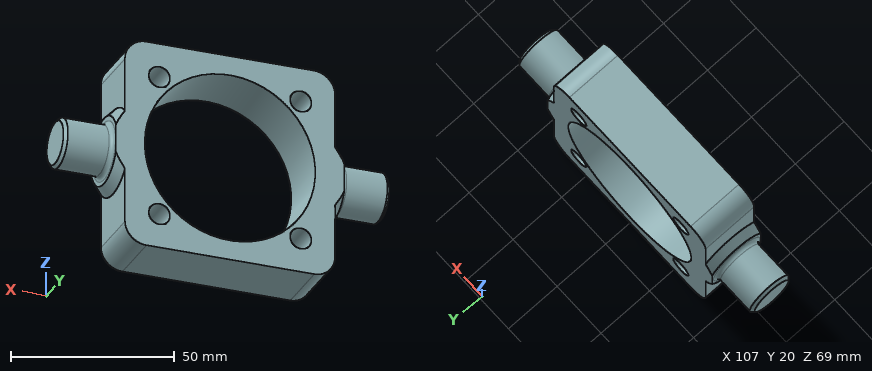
import cadquery as cq

overall_length = 107.0
plate_side = 69.0
thickness = 20.0
corner_radius = 7.0

bore_diameter = 56.0
bolt_hole_diameter = 7.0
bolt_hole_spacing = 46.4

journal_radius = 8.0
journal_chamfer = 1.1
boss_base_radius = 14.0
boss_height = 3.0
root_fillet = 1.5

half_side = plate_side / 2
journal_end = overall_length / 2
boss_face = half_side + boss_height
boss_face_radius = boss_base_radius - boss_height


def make_plate():
    """Square plate with rounded corners, centred on the origin."""
    plate = cq.Workplane("XY").box(plate_side, thickness, plate_side)
    return plate.edges("|Y").fillet(corner_radius)


def make_trunnion():
    """Journal and conical boss on the +X side, revolved about the X axis."""
    inner_end = (bore_diameter / 2 + half_side) / 2
    profile = (
        cq.Workplane("XY")
        .moveTo(inner_end, 0)
        .lineTo(inner_end, boss_base_radius)
        .lineTo(half_side, boss_base_radius)
        .lineTo(boss_face, boss_face_radius)
        .lineTo(boss_face, journal_radius + root_fillet)
        .radiusArc((boss_face + root_fillet, journal_radius), -root_fillet)
        .lineTo(journal_end - journal_chamfer, journal_radius)
        .lineTo(journal_end, journal_radius - journal_chamfer)
        .lineTo(journal_end, 0)
        .close()
    )
    trunnion = profile.revolve(360, (0, 0, 0), (1, 0, 0))
    flush_slab = cq.Workplane("XY").box(overall_length, thickness, plate_side)
    return trunnion.intersect(flush_slab)


def make_openings():
    """Central bore and four bolt holes, all along Y."""
    faces = cq.Workplane("XZ").workplane(offset=-thickness / 2)
    bore = faces.circle(bore_diameter / 2).extrude(thickness)
    bolt_holes = (
        faces.rect(bolt_hole_spacing, bolt_hole_spacing, forConstruction=True)
        .vertices()
        .circle(bolt_hole_diameter / 2)
        .extrude(thickness)
    )
    return bore.union(bolt_holes)


trunnion = make_trunnion()
body = make_plate().union(trunnion).union(trunnion.mirror("YZ"))
result = body.cut(make_openings())